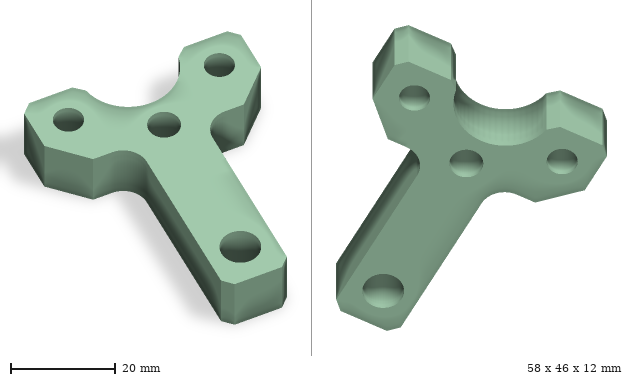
import cadquery as cq
import math

length = 58.0
head_width = 46.0
thickness = 12.0

head_depth = 18.0
arm_width = 14.0
head_bevel = 7.0
corner_chamfer = 2.0
root_fillet = 5.0

recess_radius = 10.0
lip_half_width = 11.85
lip_depth = 1.8

head_hole_diameter = 6.0
head_hole_inset = 7.0
head_hole_spacing = 32.0
center_hole_diameter = 6.5
center_hole_x = 16.0
arm_hole_diameter = 8.0
arm_hole_x = 50.0


def make_blank():
    """T-shaped plate with its bevelled corners and filleted arm roots."""
    head = cq.Workplane("XY").box(head_depth, head_width, thickness, centered=(False, True, False))
    head = head.edges("|Z and <X").chamfer(corner_chamfer)
    head = head.edges("|Z and >X").chamfer(head_bevel)
    arm = cq.Workplane("XY").box(length, arm_width, thickness, centered=(False, True, False))
    arm = arm.edges("|Z and >X").chamfer(corner_chamfer)
    blank = head.union(arm)
    root_selector = cq.selectors.BoxSelector(
        (head_depth - root_fillet, -arm_width, 0),
        (head_depth + root_fillet, arm_width, thickness),
    )
    return blank.edges("|Z").edges(root_selector).fillet(root_fillet)


def make_recess():
    """Circular recess whose two mouth corners are cut off at an angle."""
    arc_half_width = math.sqrt(recess_radius**2 - lip_depth**2)
    return (
        cq.Workplane("XY")
        .moveTo(0, -lip_half_width)
        .lineTo(lip_depth, -arc_half_width)
        .threePointArc((recess_radius, 0), (lip_depth, arc_half_width))
        .lineTo(0, lip_half_width)
        .close()
        .extrude(thickness)
    )


def make_hole(x, y, diameter):
    """Cylinder that cuts a hole through the full thickness."""
    return cq.Workplane("XY").center(x, y).circle(diameter / 2).extrude(thickness)


result = make_blank().cut(make_recess())
for side in (-1, 1):
    result = result.cut(make_hole(head_hole_inset, side * head_hole_spacing / 2, head_hole_diameter))
result = result.cut(make_hole(center_hole_x, 0, center_hole_diameter))
result = result.cut(make_hole(arm_hole_x, 0, arm_hole_diameter))